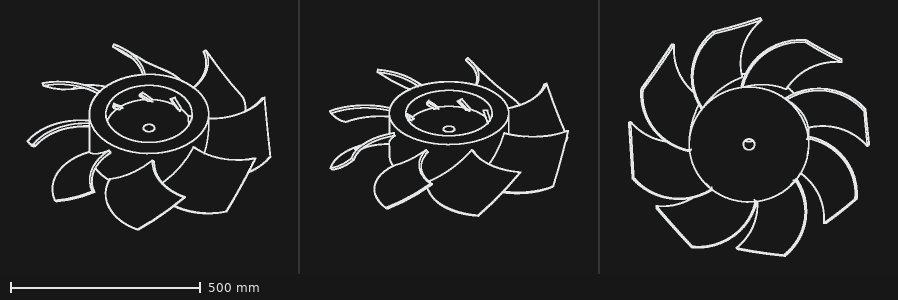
import cadquery as cq
import math

HUB_DIAMETER = 315.0
HUB_HEIGHT = 130.0
BORE_DIAMETER = 227.5
BORE_DEPTH = 49.5
SHAFT_DIAMETER = 29.0

BLADE_COUNT = 8
SEPARATE_BLADES = 5
FIRST_SEPARATE_BLADE = -2
BLADE_PITCH = 360 / BLADE_COUNT
BLADE_THICKNESS = 7.5

LEADING_EDGE_HEIGHT = 106.0
LEADING_TIP = (-4.0, 318.5)
LEADING_MIDDLE = (43.0, 211.5)
LEADING_ROOT = (9.0, 104.5)

BLADE_RUN = 125.0
BLADE_HEADING = -9.0
BLADE_SAG = 6.0
TRAILING_EDGE_HEIGHT = 6.5


def make_blade(index):
    """Sagging curved sheet, thickened downwards and turned to its place around the hub."""
    points = [cq.Vector(x, y, LEADING_EDGE_HEIGHT) for x, y in (LEADING_TIP, LEADING_MIDDLE, LEADING_ROOT)]
    heading = math.radians(BLADE_HEADING)
    slide = cq.Vector(
        BLADE_RUN * math.cos(heading),
        BLADE_RUN * math.sin(heading),
        TRAILING_EDGE_HEIGHT - LEADING_EDGE_HEIGHT,
    )
    leading_edge = cq.Edge.makeThreePointArc(*points)
    middle_edge = leading_edge.translate(slide / 2 - cq.Vector(0, 0, BLADE_SAG))
    trailing_edge = leading_edge.translate(slide)
    sheet = cq.occ_impl.shapes.loft(leading_edge, middle_edge, trailing_edge).Faces()[0]
    toward_underside = -math.copysign(BLADE_THICKNESS, sheet.normalAt().z)
    blade = sheet.thicken(toward_underside)
    return blade.rotate(cq.Vector(0, 0, 0), cq.Vector(0, 0, 1), index * BLADE_PITCH)


def cut_bore_and_shaft_hole(body):
    bore = (
        cq.Workplane("XY")
        .workplane(offset=HUB_HEIGHT - BORE_DEPTH)
        .circle(BORE_DIAMETER / 2)
        .extrude(BORE_DEPTH)
    )
    shaft_hole = cq.Workplane("XY").circle(SHAFT_DIAMETER / 2).extrude(HUB_HEIGHT)
    return body.cut(bore).cut(shaft_hole)


def make_hub(fused_blades, separate_blades):
    """Cylinder with its own blades, bored out, and slotted where the separate blades enter."""
    hub = cq.Workplane("XY").circle(HUB_DIAMETER / 2).extrude(HUB_HEIGHT)
    for blade in fused_blades:
        hub = hub.union(cq.Workplane(blade))
    hub = cut_bore_and_shaft_hole(hub)
    for blade in separate_blades:
        hub = hub.cut(cq.Workplane(blade))
    return hub


blades = [make_blade(FIRST_SEPARATE_BLADE + place) for place in range(BLADE_COUNT)]
separate_blades = blades[:SEPARATE_BLADES]
fused_blades = blades[SEPARATE_BLADES:]

hub = make_hub(fused_blades, separate_blades)

result = cq.Compound.makeCompound([hub.solids().val(), *separate_blades])